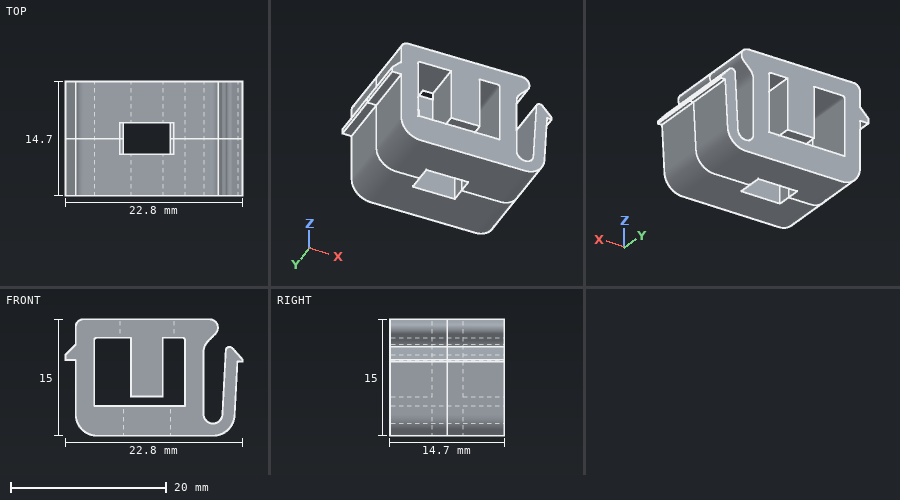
import cadquery as cq
import math

height = 15.0
depth = 14.7
half_depth = depth / 2
block_right = 16.45
top_corner_radius = 1.0

bend_inner_radius = 1.2
arm_thickness = 1.6
bend_outer_radius = bend_inner_radius + arm_thickness
bend_x = block_right + bend_inner_radius
bend_z = bend_outer_radius
base_corner_radius = bend_outer_radius
arm_lean_degrees = 3.0
arm_lean = math.radians(arm_lean_degrees)

barb_overhang = 0.65
barb_base_v = 6.9
barb_lip = 0.3
tip_radius = 0.5
barb_u = bend_outer_radius + barb_overhang
tip_center_u = bend_inner_radius + tip_radius

catch_reach = 1.3
catch_bottom_z = 9.75
catch_lip = 0.7

nose_radius = 1.1
nose_x = 17.2
nose_z = height - nose_radius
throat_radius = 2.0
throat_x = block_right + throat_radius

wall = 2.4
window_left = wall
window_right = block_right - wall
window_bottom = 3.85
window_top = height - wall
window_corner_radius = 0.3
post_width = 4.1
post_x = 9.15
post_bottom = 5.05

slot_half_y = 2.0
roof_slot_width = 6.95
floor_slot_width = 6.0

diagonal = math.sqrt(0.5)


def polar(center_a, center_b, radius, degrees):
    """Point on a circle, at an angle from the first axis towards the second."""
    angle = math.radians(degrees)
    return (center_a + radius * math.cos(angle), center_b + radius * math.sin(angle))


def arm_point(u, v):
    """XZ position of a point given in the leaning arm's own coordinates."""
    return (
        bend_x + u * math.cos(arm_lean) + v * math.sin(arm_lean),
        bend_z - u * math.sin(arm_lean) + v * math.cos(arm_lean),
    )


def block_at(x_min, x_max, y_min, y_max, z_min, z_max):
    """Box between the given limits."""
    size = (x_max - x_min, y_max - y_min, z_max - z_min)
    return cq.Workplane("XY").box(*size, centered=False).translate((x_min, y_min, z_min))


def outline():
    """Closed side profile: block, catch, nose and spring arm."""
    catch_tip_z = catch_bottom_z + catch_lip
    barb_lip_v = barb_base_v + barb_lip

    tip_tangent_u = tip_center_u + tip_radius * diagonal
    tip_tangent_v = barb_lip_v + barb_u - tip_tangent_u
    tip_center_v = tip_tangent_v - tip_radius * diagonal
    tip_mid = arm_point(*polar(tip_center_u, tip_center_v, tip_radius, 112.5))

    nose_end = polar(nose_x, nose_z, nose_radius, -45)
    throat_start_x = throat_x - throat_radius * diagonal
    throat_start_z = nose_end[1] - (nose_end[0] - throat_start_x)
    throat_z = throat_start_z - throat_radius * diagonal

    bend_inner_mid = -90 - arm_lean_degrees / 2
    bend_outer_mid = -45 - arm_lean_degrees / 2

    corner = top_corner_radius
    return (
        cq.Workplane("XZ")
        .moveTo(0, height - corner)
        .threePointArc(polar(corner, height - corner, corner, 135), (corner, height))
        .lineTo(nose_x, height)
        .threePointArc(polar(nose_x, nose_z, nose_radius, 22.5), nose_end)
        .lineTo(throat_start_x, throat_start_z)
        .threePointArc(polar(throat_x, throat_z, throat_radius, 157.5), (block_right, throat_z))
        .lineTo(block_right, bend_z)
        .threePointArc(
            polar(bend_x, bend_z, bend_inner_radius, bend_inner_mid),
            arm_point(bend_inner_radius, 0),
        )
        .lineTo(*arm_point(bend_inner_radius, tip_center_v))
        .threePointArc(tip_mid, arm_point(tip_tangent_u, tip_tangent_v))
        .lineTo(*arm_point(barb_u, barb_lip_v))
        .lineTo(*arm_point(barb_u, barb_base_v))
        .lineTo(*arm_point(bend_outer_radius, barb_base_v))
        .lineTo(*arm_point(bend_outer_radius, 0))
        .threePointArc(polar(bend_x, bend_z, bend_outer_radius, bend_outer_mid), (bend_x, 0))
        .lineTo(base_corner_radius, 0)
        .threePointArc(
            polar(base_corner_radius, base_corner_radius, base_corner_radius, -135),
            (0, base_corner_radius),
        )
        .lineTo(0, catch_bottom_z)
        .lineTo(-catch_reach, catch_bottom_z)
        .lineTo(-catch_reach, catch_tip_z)
        .lineTo(0, catch_tip_z + catch_reach)
        .close()
    )


def window():
    """Window opening, leaving the hanging post in place."""
    opening = block_at(window_left, window_right, -half_depth, 0, window_bottom, window_top)
    opening = opening.edges("|Y and >Z").fillet(window_corner_radius)
    post_left = post_x - post_width / 2
    post = block_at(post_left, post_left + post_width, -half_depth, 0, post_bottom, height)
    return opening.cut(post)


def slot(width, z_min, z_max):
    """Front half of a vertical slot centred on the post."""
    return block_at(post_x - width / 2, post_x + width / 2, -slot_half_y, 0, z_min, z_max)


def front_half():
    """Body in front of the parting plane."""
    body = outline().extrude(half_depth)
    body = body.cut(window())
    body = body.cut(slot(roof_slot_width, window_bottom, height))
    return body.cut(slot(floor_slot_width, 0, window_bottom))


def rear_half():
    """Body behind the parting plane, a mirror image of the front one."""
    return front_half().mirror("XZ")


front_clip = front_half()
rear_clip = rear_half()

result = cq.Compound.makeCompound([front_clip.val(), rear_clip.val()])